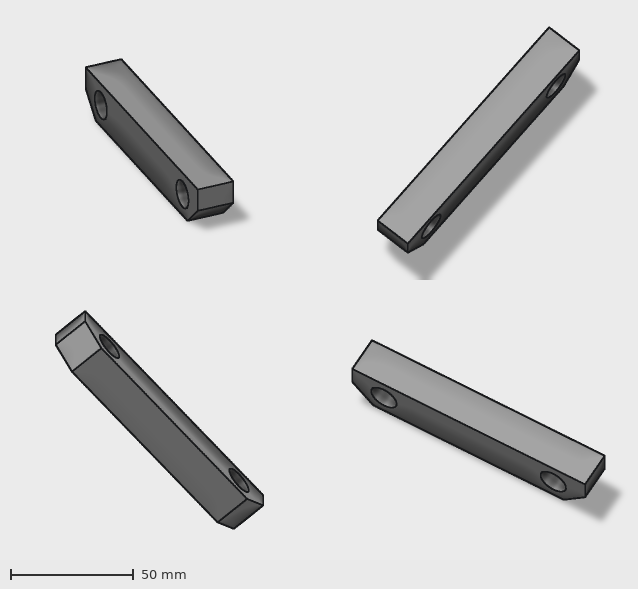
import cadquery as cq

length = 110.0
depth = 16.0
height = 20.0
corner_cut = 10.0

hole_diameter = 12.0
hole_spacing = 80.0


def make_bar():
    """Rectangular bar, centred on the origin, with both lower ends cut at 45 degrees."""
    bar = cq.Workplane("XY").box(length, depth, height)
    lower_end_edges = bar.faces("<Z").edges("|Y")
    return lower_end_edges.chamfer(corner_cut)


def make_holes():
    """Cylinders along Y that cut the two holes through the full depth."""
    centres = [(-hole_spacing / 2, 0), (hole_spacing / 2, 0)]
    sketch = cq.Workplane("XZ").pushPoints(centres).circle(hole_diameter / 2)
    return sketch.extrude(depth / 2, both=True)


result = make_bar().cut(make_holes())